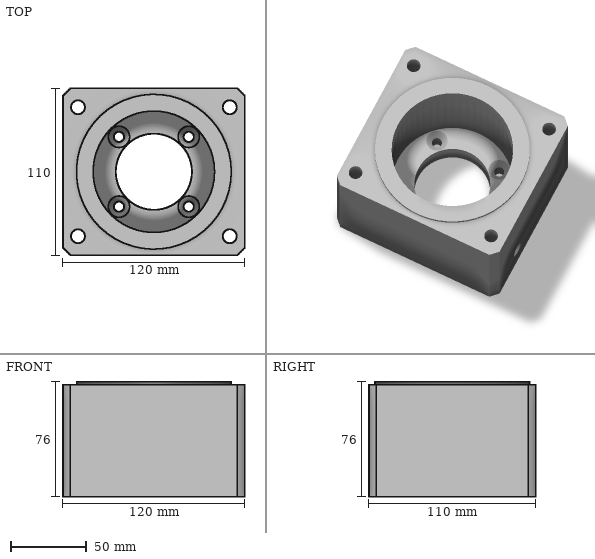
import cadquery as cq

length = 120
width = 110.0
height = 76.0
corner_chamfer = 5.0

ring_diameter = 102
ring_height = 2.0
bore_diameter = 80.0
floor_thickness = 15.0
floor_opening_diameter = 50.0

mount_diameter = 9.0
mount_spacing_x = 100.0
mount_spacing_y = 85.0

screw_diameter = 6.6
screw_head_diameter = 14.0
screw_head_angle = 90
screw_spacing = 46.0

port_diameter = 10.0
port_y = 24
port_z = 20.0

block_height = height - ring_height


def make_body():
    """Block with chamfered vertical edges and a raised ring on top."""
    block = cq.Workplane("XY").box(length, width, block_height, centered=(True, True, False))
    block = block.edges("|Z").chamfer(corner_chamfer)
    ring = cq.Workplane("XY").circle(ring_diameter / 2).extrude(height)
    return block.union(ring)


def cut_bore(body):
    """Stepped bore: wide above the floor, narrower through it."""
    bore = cq.Workplane("XY").workplane(offset=floor_thickness).circle(bore_diameter / 2).extrude(height)
    opening = cq.Workplane("XY").circle(floor_opening_diameter / 2).extrude(height)
    return body.cut(bore).cut(opening)


def cut_mount_holes(body):
    """Through holes near the four corners."""
    holes = (
        cq.Workplane("XY")
        .rect(mount_spacing_x, mount_spacing_y, forConstruction=True)
        .vertices()
        .circle(mount_diameter / 2)
        .extrude(height)
    )
    return body.cut(holes)


def cut_screw_holes(body):
    """Countersunk holes through the floor."""
    return (
        body.copyWorkplane(cq.Workplane("XY", origin=(0, 0, floor_thickness)))
        .rect(screw_spacing, screw_spacing, forConstruction=True)
        .vertices()
        .cskHole(screw_diameter, screw_head_diameter, screw_head_angle, depth=floor_thickness)
    )


def cut_port(body):
    """Horizontal hole from the -X side to the bore."""
    port = (
        cq.Workplane("YZ", origin=(-length / 2, port_y, port_z))
        .circle(port_diameter / 2)
        .extrude(length / 2)
    )
    return body.cut(port)


result = make_body()
result = cut_bore(result)
result = cut_mount_holes(result)
result = cut_screw_holes(result)
result = cut_port(result)